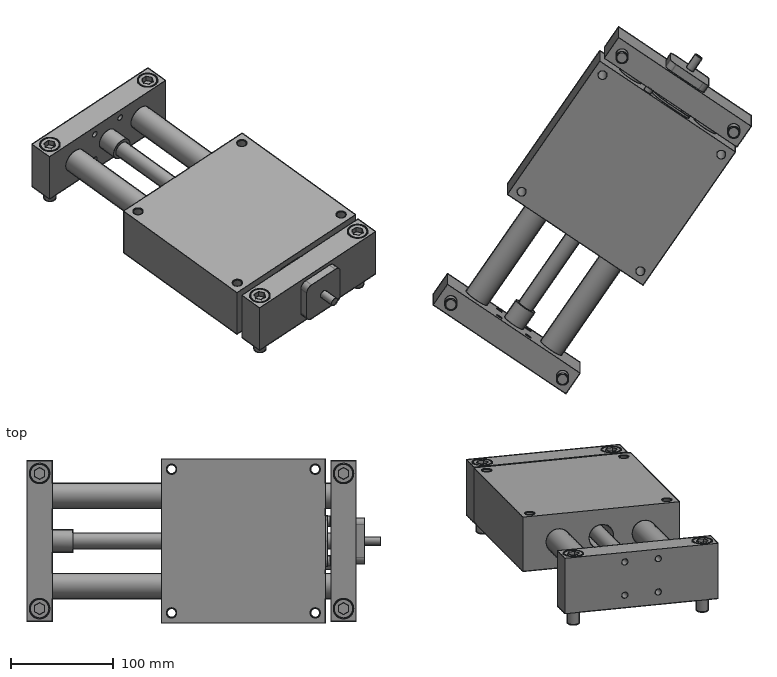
import cadquery as cq
import math

OVERALL_LENGTH = 345.0

CARRIAGE_SIDE = 160.0
CARRIAGE_HEIGHT = 56.0
CARRIAGE_START = 131.0
CARRIAGE_END = CARRIAGE_START + CARRIAGE_SIDE
MOUNT_HOLE_SPACING = 140.0
MOUNT_HOLE_DIAMETER = 8.5
MOUNT_HOLE_MOUTH_DIAMETER = 10.0
MOUNT_HOLE_MOUTH_ANGLE = 90
SCREW_BORE_DIAMETER = 25.0

PLATE_THICKNESS = 25.0
PLATE_WIDTH = 156.5
PLATE_HEIGHT = 57.0
PLATE_DROP = 1.0
PLATE_TOP = CARRIAGE_HEIGHT / 2 - PLATE_DROP
PLATE_BOTTOM = PLATE_TOP - PLATE_HEIGHT
CARRIAGE_GAP = 5.2
RIGHT_PLATE_START = CARRIAGE_END + CARRIAGE_GAP
RIGHT_PLATE_END = RIGHT_PLATE_START + PLATE_THICKNESS
BEARING_HOLE_DIAMETER = 6.2
BEARING_HOLE_SPACING = 34.0

ROD_DIAMETER = 25.0
ROD_SPACING = 88.0
SCREW_DIAMETER = 16.0
COLLAR_DIAMETER = 22.0
COLLAR_LENGTH = 20.0

COVER_SIDE = 45.2
COVER_CORNER_RADIUS = 6.5
COVER_THICKNESS = 8.3
SHAFT_DIAMETER = 8.3

BOLT_SPACING = 131.8
BOLT_DIAMETER = 12.0
BOLT_PROTRUSION = 15.2
BOLT_TIP_CHAMFER = 1.0
BOLT_HEAD_DIAMETER = 18.0
BOLT_HEAD_HEIGHT = 12.0
COUNTERBORE_DIAMETER = 20.0
SOCKET_SIDES = 6
SOCKET_ACROSS_FLATS = 10.0
SOCKET_DEPTH = 6.0

FLANGE_RADIUS = 21.0
FLANGE_THICKNESS = 2.0
LUG_RADIUS = 5.5
LUG_Y = 19.3
LUG_Z = FLANGE_RADIUS - LUG_RADIUS
FLANGE_BOLT_HEAD_DIAMETER = 10.5
FLANGE_BOLT_HEAD_HEIGHT = 2.8
STOP_PIN_DIAMETER = 8.3
STOP_PIN_Y = -23.8
STOP_PIN_Z = -20.5


def x_cylinder(diameter, start, end, y=0.0, z=0.0):
    """A round bar along X."""
    return cq.Workplane("YZ", origin=(start, y, z)).circle(diameter / 2).extrude(end - start)


def guide_rods(start, end):
    """The two parallel rods, one on each side of the screw."""
    rods = x_cylinder(ROD_DIAMETER, start, end, y=-ROD_SPACING / 2)
    return rods.union(x_cylinder(ROD_DIAMETER, start, end, y=ROD_SPACING / 2))


def nut_flange():
    """A disc with two opposite lugs, each joined to it by straight tangents."""
    top_angle = math.pi / 2
    lug_angle = math.atan2(LUG_Z, -LUG_Y)
    side_angle = 2 * lug_angle - top_angle
    far_angle = (side_angle + top_angle + math.pi) / 2

    def on_disc(angle):
        return (FLANGE_RADIUS * math.cos(angle), FLANGE_RADIUS * math.sin(angle))

    def on_lug(angle):
        return (-LUG_Y + LUG_RADIUS * math.cos(angle), LUG_Z + LUG_RADIUS * math.sin(angle))

    def opposite(point):
        return (-point[0], -point[1])

    outline = (
        cq.Workplane("YZ", origin=(CARRIAGE_END, 0, 0))
        .moveTo(*on_disc(top_angle))
        .lineTo(*on_lug(top_angle))
        .threePointArc(on_lug(lug_angle), on_lug(side_angle))
        .lineTo(*on_disc(side_angle))
        .threePointArc(on_disc(far_angle), opposite(on_disc(top_angle)))
        .lineTo(*opposite(on_lug(top_angle)))
        .threePointArc(opposite(on_lug(lug_angle)), opposite(on_lug(side_angle)))
        .lineTo(*opposite(on_disc(side_angle)))
        .threePointArc(opposite(on_disc(far_angle)), on_disc(top_angle))
        .close()
    )
    return outline.extrude(FLANGE_THICKNESS)


def flange_bolt_heads():
    """One round bolt head on each lug of the nut flange."""
    start = CARRIAGE_END + FLANGE_THICKNESS
    end = start + FLANGE_BOLT_HEAD_HEIGHT
    heads = x_cylinder(FLANGE_BOLT_HEAD_DIAMETER, start, end, y=-LUG_Y, z=LUG_Z)
    return heads.union(x_cylinder(FLANGE_BOLT_HEAD_DIAMETER, start, end, y=LUG_Y, z=-LUG_Z))


def make_carriage():
    """The sliding block with its screw nut and stop pin."""
    block = (
        cq.Workplane("XY", origin=(CARRIAGE_START + CARRIAGE_SIDE / 2, 0, 0))
        .box(CARRIAGE_SIDE, CARRIAGE_SIDE, CARRIAGE_HEIGHT)
        .faces(">Z")
        .workplane()
        .rect(MOUNT_HOLE_SPACING, MOUNT_HOLE_SPACING, forConstruction=True)
        .vertices()
        .cskHole(MOUNT_HOLE_DIAMETER, MOUNT_HOLE_MOUTH_DIAMETER, MOUNT_HOLE_MOUTH_ANGLE)
    )
    bore = x_cylinder(SCREW_BORE_DIAMETER, CARRIAGE_START, CARRIAGE_END)
    stop_pin = x_cylinder(STOP_PIN_DIAMETER, CARRIAGE_END, RIGHT_PLATE_START, STOP_PIN_Y, STOP_PIN_Z)
    screw_hole = x_cylinder(SCREW_DIAMETER, CARRIAGE_START, RIGHT_PLATE_START)
    return (
        block.cut(bore)
        .union(nut_flange())
        .union(flange_bolt_heads())
        .union(stop_pin)
        .cut(screw_hole)
        .cut(guide_rods(CARRIAGE_START, CARRIAGE_END))
    )


def plate_bolt(x, y):
    """A socket-head bolt with its head flush with the plate top and its tip below the plate."""
    tip = PLATE_BOTTOM - BOLT_PROTRUSION
    shank = (
        cq.Workplane("XY", origin=(x, y, tip))
        .circle(BOLT_DIAMETER / 2)
        .extrude(PLATE_TOP - tip)
        .faces("<Z")
        .chamfer(BOLT_TIP_CHAMFER)
    )
    head = (
        cq.Workplane("XY", origin=(x, y, PLATE_TOP))
        .circle(BOLT_HEAD_DIAMETER / 2)
        .extrude(-BOLT_HEAD_HEIGHT)
    )
    socket = (
        cq.Workplane("XY", origin=(x, y, PLATE_TOP))
        .polygon(SOCKET_SIDES, SOCKET_ACROSS_FLATS, circumscribed=True)
        .extrude(-SOCKET_DEPTH)
    )
    return shank.union(head).cut(socket)


def end_plate(start):
    """A plain end plate with its two bolts standing in counterbores."""
    center_x = start + PLATE_THICKNESS / 2
    plate = (
        cq.Workplane("XY", origin=(center_x, 0, PLATE_BOTTOM))
        .rect(PLATE_THICKNESS, PLATE_WIDTH)
        .extrude(PLATE_HEIGHT)
    )
    for y in (-BOLT_SPACING / 2, BOLT_SPACING / 2):
        counterbore = (
            cq.Workplane("XY", origin=(center_x, y, PLATE_TOP))
            .circle(COUNTERBORE_DIAMETER / 2)
            .extrude(-BOLT_HEAD_HEIGHT)
        )
        plate = plate.cut(counterbore).union(plate_bolt(center_x, y))
    return plate


def bearing_holes():
    """The square pattern of four holes through the left plate."""
    return (
        cq.Workplane("YZ")
        .rect(BEARING_HOLE_SPACING, BEARING_HOLE_SPACING, forConstruction=True)
        .vertices()
        .circle(BEARING_HOLE_DIAMETER / 2)
        .extrude(PLATE_THICKNESS)
    )


def bearing_cover():
    """The square cover with rounded corners around the drive shaft."""
    return (
        cq.Workplane("YZ", origin=(RIGHT_PLATE_END, 0, 0))
        .rect(COVER_SIDE, COVER_SIDE)
        .extrude(COVER_THICKNESS)
        .edges("|X")
        .fillet(COVER_CORNER_RADIUS)
    )


def make_frame():
    """The end plates with the rods, screw, collar, cover and shaft between and beyond them."""
    frame = end_plate(0).cut(bearing_holes())
    frame = frame.union(guide_rods(PLATE_THICKNESS, RIGHT_PLATE_START))
    frame = frame.union(x_cylinder(SCREW_DIAMETER, PLATE_THICKNESS, RIGHT_PLATE_START))
    frame = frame.union(x_cylinder(COLLAR_DIAMETER, PLATE_THICKNESS, PLATE_THICKNESS + COLLAR_LENGTH))
    frame = frame.union(end_plate(RIGHT_PLATE_START))
    frame = frame.union(bearing_cover())
    return frame.union(x_cylinder(SHAFT_DIAMETER, RIGHT_PLATE_END, OVERALL_LENGTH))


carriage = make_carriage()
frame = make_frame()

result = cq.Compound.makeCompound([carriage.solids().val(), frame.solids().val()])